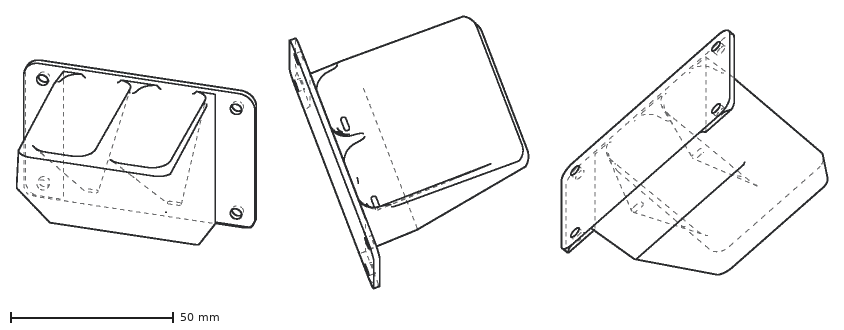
import cadquery as cq
import math

PLATE_WIDTH = 74.0
PLATE_HEIGHT = 49.8
PLATE_THICKNESS = 2.0
PLATE_CORNER_RADIUS = 5.0
PLATE_BEVEL = 1.8
HOLE_DIAMETER = 3.6
HOLE_SPACING_X = 62.0
HOLE_SPACING_Z = 38.0

BODY_WIDTH = 48.8
BODY_DEPTH = 57.05
SIDE_TRIM = 0.6
LIP_HEIGHT = 10.6
LIP_CORNER_RADIUS = 5.0
HEEL_DEPTH = 19.25
HEEL_HEIGHT = 3.7
BODY_EDGE_RADIUS = 1.0

TILT_ANGLE = 10.0
TILT = math.tan(math.radians(TILT_ANGLE))
RELIEF_END = 10.65
RELIEF_DROP = RELIEF_END * TILT
RELIEF_EDGE_RADIUS = 0.4

POCKET_OFFSET = 12.0
POCKET_WIDTH_BACK = 21.75
POCKET_WIDTH_FRONT = 20.1
POCKET_BACK = 1.5
POCKET_FRONT = 50.8
POCKET_CORNER_RADIUS = 5.9
POCKET_RIM_RADIUS = 1.0
POCKET_DEPTH = 38.5
FLOOR_OFFSET = 13.3
FLOOR_WIDTH = 4.45
FLOOR_BACK = 8.65
FLOOR_LENGTH = 1.6
FLOOR_CORNER_RADIUS = 0.75


def prism(profile, width):
    """Side profile of (Y, Z) points, extruded evenly to both sides of X = 0."""
    return cq.Workplane("YZ").polyline(profile).close().extrude(width / 2, both=True)


def centred_in(y_range, z_range):
    """Selector for edges whose centre lies in the given Y and Z ranges."""
    return cq.selectors.BoxSelector(
        (-PLATE_WIDTH, y_range[0], z_range[0]),
        (PLATE_WIDTH, y_range[1], z_range[1]),
    )


def nearest_to(y, z):
    """Selector for the face whose centre is closest to a point on the plane X = 0."""
    return cq.selectors.NearestToPointSelector((0, y, z))


def make_plate():
    """Rounded back plate with its lower front edge bevelled and four screw holes."""
    middle = cq.Workplane("XZ", origin=(0, 0, PLATE_HEIGHT / 2))
    plate = middle.rect(PLATE_WIDTH, PLATE_HEIGHT).extrude(PLATE_THICKNESS)
    plate = plate.edges("|Y").fillet(PLATE_CORNER_RADIUS)
    bevel = [(0, 0), (-PLATE_THICKNESS, 0), (-PLATE_THICKNESS, PLATE_BEVEL)]
    holes = (
        middle.rect(HOLE_SPACING_X, HOLE_SPACING_Z, forConstruction=True)
        .vertices()
        .circle(HOLE_DIAMETER / 2)
        .extrude(PLATE_THICKNESS)
    )
    return plate.cut(prism(bevel, PLATE_WIDTH)).cut(holes)


def make_body():
    """Solid hopper block with a tilted lip, a sloped underside and a shallow heel."""
    lip_bottom = PLATE_HEIGHT - LIP_HEIGHT
    profile = [
        (0, 0),
        (-HEEL_DEPTH, HEEL_HEIGHT),
        (-BODY_DEPTH, lip_bottom),
        (-BODY_DEPTH + LIP_HEIGHT * TILT, PLATE_HEIGHT),
        (0, PLATE_HEIGHT),
    ]

    body = prism(profile, BODY_WIDTH + 2 * SIDE_TRIM)
    body = body.faces(nearest_to(-BODY_DEPTH, PLATE_HEIGHT)).edges("not |X").fillet(LIP_CORNER_RADIUS)
    body = body.intersect(cq.Workplane("XY").box(BODY_WIDTH, 2 * BODY_DEPTH, 2 * PLATE_HEIGHT))

    lip_depths = (-BODY_DEPTH, -BODY_DEPTH + LIP_CORNER_RADIUS)
    lip_zone = centred_in(lip_depths, (lip_bottom - LIP_HEIGHT, PLATE_HEIGHT))
    body = body.faces("<X or >X").edges(lip_zone).fillet(BODY_EDGE_RADIUS)

    slope = body.faces(nearest_to(-(HEEL_DEPTH + BODY_DEPTH) / 2, (HEEL_HEIGHT + lip_bottom) / 2))
    heel = body.faces(nearest_to(-HEEL_DEPTH / 2, HEEL_HEIGHT / 2))
    above_fold = centred_in((-BODY_DEPTH, 0), (HEEL_HEIGHT + BODY_EDGE_RADIUS, PLATE_HEIGHT))
    return slope.edges(above_fold).add(heel.edges("not |X")).fillet(BODY_EDGE_RADIUS)


def pocket_outline(centre, height, width_back, width_front, back, front, radius):
    """Horizontal rounded trapezoid, as a wire."""
    corners = [
        (centre - width_back / 2, -back),
        (centre + width_back / 2, -back),
        (centre + width_front / 2, -front),
        (centre - width_front / 2, -front),
    ]
    slab = cq.Workplane("XY", origin=(0, 0, height)).polyline(corners).close().extrude(0.75)
    return slab.edges("|Z").fillet(radius).faces("<Z").wires().val()


def make_pocket():
    """Hopper cavity on the +X side, narrowing as it falls towards the plate."""
    opening = pocket_outline(
        POCKET_OFFSET,
        PLATE_HEIGHT,
        POCKET_WIDTH_BACK,
        POCKET_WIDTH_FRONT,
        POCKET_BACK,
        POCKET_FRONT,
        POCKET_CORNER_RADIUS,
    )
    floor = pocket_outline(
        FLOOR_OFFSET,
        PLATE_HEIGHT - POCKET_DEPTH,
        FLOOR_WIDTH,
        FLOOR_WIDTH,
        FLOOR_BACK,
        FLOOR_BACK + FLOOR_LENGTH,
        FLOOR_CORNER_RADIUS,
    )
    return cq.Workplane(cq.Solid.makeLoft([floor, opening], True))


def cut_pockets(body):
    """Sink the two mirrored pockets and round their rims."""
    pocket = make_pocket()
    body = body.cut(pocket).cut(pocket.mirror("YZ"))
    rims = body.faces(">Z").val().innerWires()
    return body.newObject(rims).edges().fillet(POCKET_RIM_RADIUS)


def cut_relief(body):
    """Dip the top towards the plate and soften the outer edges of the dip."""
    wedge = [(0, PLATE_HEIGHT), (-RELIEF_END, PLATE_HEIGHT), (0, PLATE_HEIGHT - RELIEF_DROP)]
    body = body.cut(prism(wedge, PLATE_WIDTH))
    dip = centred_in((-RELIEF_END, 0), (PLATE_HEIGHT - RELIEF_DROP, PLATE_HEIGHT))
    return body.faces("<X or >X").edges(dip).fillet(RELIEF_EDGE_RADIUS)


hopper = cut_relief(cut_pockets(make_body()))
result = hopper.union(make_plate()).solids()